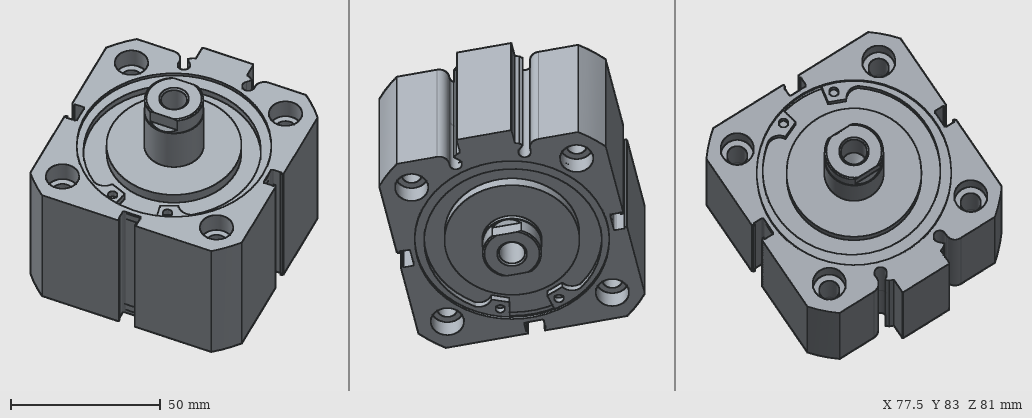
import cadquery as cq
import math


body_width = 77.5
body_depth = 83.0
body_height = 50.05
corner_radius = 49.6
half_width = body_width / 2
half_height = body_height / 2

rail_top = body_depth - half_width
rail_half_width = 9.4
rail_edge_chamfer = 0.25
rail_foot_y = 38.85
hook_shoulder_x = 10.8
hook_shoulder_y = 38.3
groove_x = 11.8
groove_y = 34.45
groove_radius = 2.1
groove_lip_radius = 3.5

slot_floor = 34.2
slot_half_width = 3.3
slot_floor_fillet = 0.5
lip_depth = 1.0
front_mouth_half_width = 2.9
side_mouth_half_width = 2.65
side_rebate_half_width = 3.15
side_rebate_depth = 0.3

hole_offset = 28.2
hole_radius = 3.4
counterbore_radius = 5.6
counterbore_depth = 7.4

bore_radius = 32.5
ring_inset = 1.2
ring_groove_width = 2.7
ring_clearance = 0.21
ring_outer_radius = 33.95
ring_thickness = ring_groove_width - ring_clearance
head_inset = ring_inset + ring_groove_width
head_thickness = 11.6
head_boss_radius = 22.6

ring_inner_radius = 29.7
ring_inner_offset = -1.5
lug_neck_x = 18.2
lug_neck_y = ring_inner_offset - math.sqrt(ring_inner_radius**2 - lug_neck_x**2)
lug_valley = (15.4, -25.6)
lug_heel = (12.1, -23.4)
lug_toe = (6.5, -25.8)
lug_side_slope = 0.2
lug_hole_x = 10.05
lug_hole_y = -27.8
lug_hole_radius = 1.6

rod_diameter = 20.0
rod_radius = rod_diameter / 2
rod_top_reach = 23.0
rod_bottom_reach = 8.0
rod_end_length = 6.4
rod_end_radius = 9.8
rod_end_chamfer_radial = 0.6
rod_end_chamfer_axial = 0.3
flat_distance = 8.5
flat_length = 4.9
rod_hole_diameter = 8.7
rod_hole_radius = rod_hole_diameter / 2
rod_hole_mouth_radius = 5.0
rod_hole_depth = 14.9
drill_point_angle = 118
drill_tip_depth = rod_hole_radius / math.tan(math.radians(drill_point_angle / 2))


def cylinder(radius, bottom, top):
    return cq.Workplane("XY").workplane(offset=bottom).circle(radius).extrude(top - bottom)


def at_both_ends(feature):
    """The feature at the top end, and its mirror image at the bottom end."""
    return [feature, feature.mirror("XY")]


def make_block():
    block = cq.Workplane("XY").rect(body_width, body_width).extrude(half_height, both=True)
    return block.intersect(cylinder(corner_radius, -half_height, half_height))


def make_rail():
    """Rail outline above the groove centres, with a pointed hook on each side."""
    hook_reach = groove_radius * math.sqrt(2)
    tangent = groove_radius / math.sqrt(2)
    right_side = [
        (groove_x - tangent, groove_y + tangent),
        (groove_x, groove_y + hook_reach),
        (hook_shoulder_x, hook_shoulder_y),
        (rail_half_width, rail_foot_y),
        (rail_half_width, rail_top - rail_edge_chamfer),
        (rail_half_width - rail_edge_chamfer, rail_top),
    ]
    left_side = [(-x, y) for x, y in reversed(right_side)]
    foot = [(-groove_x + tangent, groove_y), (groove_x - tangent, groove_y)]
    outline = cq.Workplane("XY").polyline(right_side + left_side + foot).close()
    return outline.extrude(half_height, both=True)


def make_rail_recess():
    """Recess cut from the +Y side: rounded grooves with convex outer lips, filled later by the rail."""
    wall_x = groove_x + groove_radius
    lip_x = wall_x + groove_lip_radius
    lip_y = half_width - groove_lip_radius
    bend = groove_lip_radius / math.sqrt(2)
    return (
        cq.Workplane("XY")
        .moveTo(-lip_x, half_width)
        .threePointArc((-lip_x + bend, lip_y + bend), (-wall_x, lip_y))
        .lineTo(-wall_x, groove_y)
        .lineTo(wall_x, groove_y)
        .lineTo(wall_x, lip_y)
        .threePointArc((lip_x - bend, lip_y + bend), (lip_x, half_width))
        .close()
        .extrude(half_height, both=True)
    )


def make_rail_grooves():
    centres = [(-groove_x, groove_y), (groove_x, groove_y)]
    return cq.Workplane("XY").pushPoints(centres).circle(groove_radius).extrude(half_height, both=True)


def make_slot(mouth_half_width):
    """Undercut slot open towards -Y."""
    depth = half_width - slot_floor
    cavity = (
        cq.Workplane("XY")
        .center(0, -slot_floor - (depth - lip_depth) / 2)
        .rect(2 * slot_half_width, depth - lip_depth)
        .extrude(half_height, both=True)
        .edges("|Z and >Y")
        .fillet(slot_floor_fillet)
    )
    mouth = (
        cq.Workplane("XY")
        .center(0, -half_width + lip_depth / 2)
        .rect(2 * mouth_half_width, lip_depth)
        .extrude(half_height, both=True)
    )
    return cavity.union(mouth)


def make_side_slot():
    """Slot open towards -Y whose lips are set back from the outer face."""
    rebate = (
        cq.Workplane("XY")
        .center(0, -half_width + side_rebate_depth / 2)
        .rect(2 * side_rebate_half_width, side_rebate_depth)
        .extrude(half_height, both=True)
    )
    return make_slot(side_mouth_half_width).union(rebate)


def cut_mounting_holes(housing):
    spacing = 2 * hole_offset
    layout = cq.Workplane("XY").rect(spacing, spacing, forConstruction=True).vertices()
    housing = housing.cut(layout.circle(hole_radius).extrude(half_height, both=True))
    counterbores = (
        cq.Workplane("XY")
        .workplane(offset=half_height - counterbore_depth)
        .rect(spacing, spacing, forConstruction=True)
        .vertices()
        .circle(counterbore_radius)
        .extrude(counterbore_depth)
    )
    for counterbore in at_both_ends(counterbores):
        housing = housing.cut(counterbore)
    return housing


def make_housing():
    housing = make_block().cut(make_rail_recess())
    housing = housing.union(make_rail()).cut(make_rail_grooves())

    housing = housing.cut(make_slot(front_mouth_half_width))
    for angle in (-90, 90):
        housing = housing.cut(make_side_slot().rotate((0, 0, 0), (0, 0, 1), angle))

    housing = cut_mounting_holes(housing)
    housing = housing.cut(cylinder(bore_radius, -half_height, half_height))
    groove = cylinder(ring_outer_radius, half_height - head_inset, half_height - ring_inset)
    for ring_groove in at_both_ends(groove):
        housing = housing.cut(ring_groove)
    return housing


def make_head():
    """Top end head: a disc with a central boss flush with the housing end."""
    shoulder = half_height - head_inset
    disc = cylinder(bore_radius, shoulder - head_thickness, shoulder)
    boss = cylinder(head_boss_radius, shoulder, half_height)
    return disc.union(boss).cut(cylinder(rod_radius, -half_height, half_height))


def make_ring():
    """Top retaining ring: an eccentric open ring with a drilled lug on each side of the gap."""
    bottom = half_height - head_inset
    gap_end_y = -ring_outer_radius
    gap_end_x = lug_toe[0] + lug_side_slope * (lug_toe[1] - gap_end_y)
    opening = (
        cq.Workplane("XY")
        .workplane(offset=bottom)
        .moveTo(-lug_neck_x, lug_neck_y)
        .threePointArc((0, ring_inner_offset + ring_inner_radius), (lug_neck_x, lug_neck_y))
        .threePointArc(lug_valley, lug_heel)
        .lineTo(*lug_toe)
        .lineTo(gap_end_x, gap_end_y)
        .lineTo(-gap_end_x, gap_end_y)
        .lineTo(-lug_toe[0], lug_toe[1])
        .lineTo(-lug_heel[0], lug_heel[1])
        .threePointArc((-lug_valley[0], lug_valley[1]), (-lug_neck_x, lug_neck_y))
        .close()
        .extrude(ring_thickness)
    )
    lug_holes = (
        cq.Workplane("XY")
        .workplane(offset=bottom)
        .pushPoints([(-lug_hole_x, lug_hole_y), (lug_hole_x, lug_hole_y)])
        .circle(lug_hole_radius)
        .extrude(ring_thickness)
    )
    return cylinder(ring_outer_radius, bottom, bottom + ring_thickness).cut(opening).cut(lug_holes)


def make_rod_end():
    """Rod end with its tip at Z = 0, pointing up: two wrench flats that run out at 45 degrees."""
    rod_end = cylinder(rod_end_radius, -rod_end_length, 0)
    rod_end = rod_end.faces(">Z").chamfer(rod_end_chamfer_axial, rod_end_chamfer_radial)
    flat_run_out = rod_end_radius - flat_distance
    flat_cut = (
        cq.Workplane("YZ")
        .moveTo(flat_distance, 0)
        .lineTo(flat_distance, -flat_length)
        .lineTo(rod_end_radius, -flat_length - flat_run_out)
        .lineTo(rod_end_radius, 0)
        .close()
        .extrude(rod_end_radius, both=True)
    )
    return rod_end.cut(flat_cut).cut(flat_cut.mirror("XZ"))


def make_rod_hole():
    """Drilled hole with a countersunk mouth at Z = 0, pointing down."""
    countersink = rod_hole_mouth_radius - rod_hole_radius
    return (
        cq.Workplane("XZ")
        .moveTo(0, 0)
        .lineTo(rod_hole_mouth_radius, 0)
        .lineTo(rod_hole_radius, -countersink)
        .lineTo(rod_hole_radius, -rod_hole_depth)
        .lineTo(0, -rod_hole_depth - drill_tip_depth)
        .close()
        .revolve(360, (0, 0, 0), (0, 1, 0))
    )


def make_rod():
    top = half_height + rod_top_reach
    bottom = -half_height - rod_bottom_reach
    rod = cylinder(rod_radius, bottom + rod_end_length, top - rod_end_length)
    rod = rod.union(make_rod_end().translate((0, 0, top)))
    rod = rod.union(make_rod_end().mirror("XY").translate((0, 0, bottom)))
    rod = rod.cut(make_rod_hole().translate((0, 0, top)))
    return rod.cut(make_rod_hole().mirror("XY").translate((0, 0, bottom)))


housing = make_housing()
rod = make_rod()
heads = at_both_ends(make_head())
rings = at_both_ends(make_ring())

result = cq.Compound.makeCompound(
    [housing.val(), rod.val()]
    + [head.val() for head in heads]
    + [ring.val() for ring in rings]
)